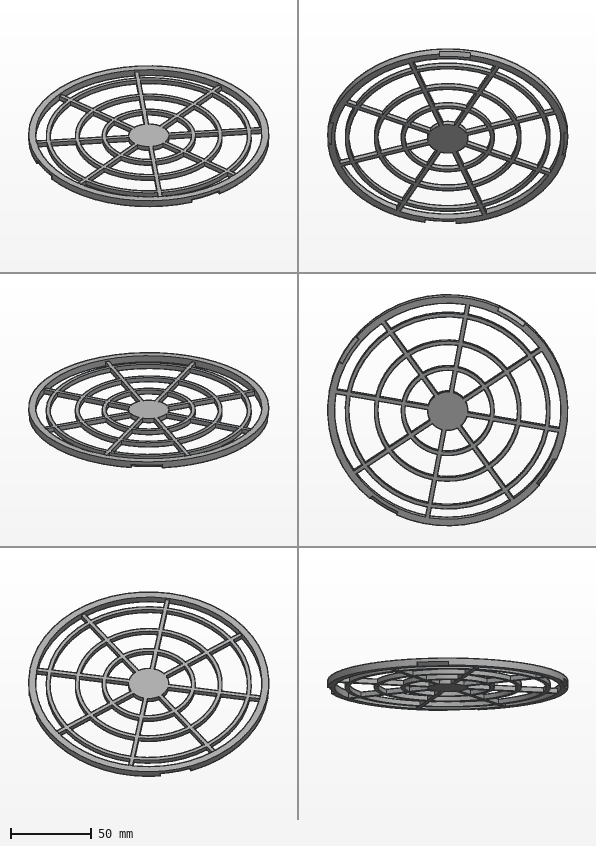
import cadquery as cq
rim_radius = 75.0
rim_width = 4.4
rim_height = 4.5
rim_inner_radius = rim_radius - rim_width

grille_height = 3.0
spoke_width = 2.5
ring_width = 2.4
hub_radius = 12.6
ring_outer_radii = (29.1, 45.9, 64.0)
spoke_line_count = 4

notch_count = 4
notch_start_angle = 60.0
notch_span_angle = 15.0
notch_height = rim_height / 2
notch_depth = notch_height


def annulus(outer_radius, inner_radius, height):
    """Flat ring about the Z axis."""
    return cq.Workplane("XY").circle(outer_radius).circle(inner_radius).extrude(height)


def spoke_line(angle):
    """Bar across the full diameter, ending inside the rim."""
    length = 2 * rim_inner_radius + rim_width
    bar = cq.Workplane("XY").rect(length, spoke_width).extrude(grille_height)
    return bar.rotate((0, 0, 0), (0, 0, 1), angle)


def rim_notch(start_angle):
    """Triangular section swept about the Z axis, bevelling the rim's lower edge."""
    sector = (
        cq.Workplane("XZ")
        .moveTo(rim_radius - notch_depth, 0)
        .lineTo(rim_radius, 0)
        .lineTo(rim_radius, notch_height)
        .close()
        .revolve(notch_span_angle, (0, 0, 0), (0, 1, 0))
    )
    return sector.rotate((0, 0, 0), (0, 0, 1), start_angle)


result = annulus(rim_radius, rim_inner_radius, rim_height)
result = result.union(cq.Workplane("XY").circle(hub_radius).extrude(grille_height))
for ring_radius in ring_outer_radii:
    result = result.union(annulus(ring_radius, ring_radius - ring_width, grille_height))
for line_index in range(spoke_line_count):
    result = result.union(spoke_line(line_index * 180 / spoke_line_count))
for notch_index in range(notch_count):
    result = result.cut(rim_notch(notch_start_angle + notch_index * 360 / notch_count))